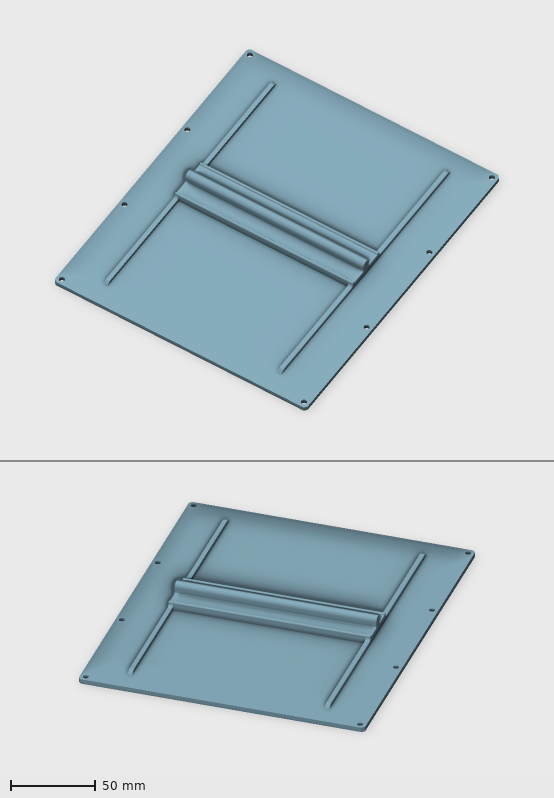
import cadquery as cq
import math

PLATE_X = 178.6
PLATE_Y = 211.39
PLATE_THICKNESS = 3.0
CORNER_CHAMFER = 1.7

HOLE_DIAMETER = 3.6
HOLE_INSET = 3.7
HOLES_PER_SIDE = 4

RAIL_OUTER_X = 63.05
RAIL_WIDTH = 3.0
RAIL_HEIGHT = 2.5
RAIL_HALF_LENGTH = 91.9
RAIL_END_RADIUS = 2.5
RAIL_STEP_RADIUS = 2.1
RAIL_EDGE_RADIUS = 0.5

BAR_HALF_WIDTH = 14.4
BENCH_HEIGHT = RAIL_HEIGHT + RAIL_STEP_RADIUS
LIP_RADIUS = 1.0
SPINE_RADIUS = 3.0
SPINE_HEIGHT = 11.5
SPINE_BASE_RADIUS = 1.0

EMBED = 1.0

RAIL_TOP = PLATE_THICKNESS + RAIL_HEIGHT
BENCH_TOP = PLATE_THICKNESS + BENCH_HEIGHT
SPINE_TOP = PLATE_THICKNESS + SPINE_HEIGHT
SPINE_SPRING = SPINE_TOP - SPINE_RADIUS
RAIL_INNER_X = RAIL_OUTER_X - RAIL_WIDTH
BOTTOM = PLATE_THICKNESS - EMBED
DIAGONAL = math.sqrt(0.5)
END_HALF_TURN = math.pi / 8


def make_plate():
    """Plate with bevelled corners and screw holes along both long sides."""
    plate = cq.Workplane("XY").box(PLATE_X, PLATE_Y, PLATE_THICKNESS, centered=(True, True, False))
    plate = plate.edges("|Z").chamfer(CORNER_CHAMFER)
    hole_x = PLATE_X - 2 * HOLE_INSET
    hole_pitch = (PLATE_Y - 2 * HOLE_INSET) / (HOLES_PER_SIDE - 1)
    return (
        plate.faces(">Z").workplane(origin=(0, 0, PLATE_THICKNESS))
        .rarray(hole_x, hole_pitch, 2, HOLES_PER_SIDE)
        .hole(HOLE_DIAMETER)
    )


def draw_bar_top(sketch):
    """Continue an outline from the outside of the -Y lip, over the spine, to the +Y lip."""
    lip_inner = BAR_HALF_WIDTH - 2 * LIP_RADIUS
    lip_middle = BAR_HALF_WIDTH - LIP_RADIUS
    lip_top = BENCH_TOP + LIP_RADIUS
    base_y = SPINE_RADIUS + SPINE_BASE_RADIUS
    base_z = BENCH_TOP + SPINE_BASE_RADIUS
    base_mid_y = base_y - SPINE_BASE_RADIUS * DIAGONAL
    base_mid_z = base_z - SPINE_BASE_RADIUS * DIAGONAL
    return (
        sketch.threePointArc((-lip_middle, lip_top), (-lip_inner, BENCH_TOP))
        .lineTo(-base_y, BENCH_TOP)
        .threePointArc((-base_mid_y, base_mid_z), (-SPINE_RADIUS, base_z))
        .lineTo(-SPINE_RADIUS, SPINE_SPRING)
        .threePointArc((0, SPINE_TOP), (SPINE_RADIUS, SPINE_SPRING))
        .lineTo(SPINE_RADIUS, base_z)
        .threePointArc((base_mid_y, base_mid_z), (base_y, BENCH_TOP))
        .lineTo(lip_inner, BENCH_TOP)
        .threePointArc((lip_middle, lip_top), (BAR_HALF_WIDTH, BENCH_TOP))
    )


def make_bar():
    """Crossbar between the two rails."""
    sketch = cq.Workplane("YZ", origin=(-RAIL_INNER_X, 0, 0)).moveTo(-BAR_HALF_WIDTH, BOTTOM)
    sketch = draw_bar_top(sketch.lineTo(-BAR_HALF_WIDTH, BENCH_TOP))
    return sketch.lineTo(BAR_HALF_WIDTH, BOTTOM).close().extrude(2 * RAIL_INNER_X)


def make_rail():
    """Rail on the -X side: sloped ends, the crossbar's outline in the middle, outer edge rounded."""
    crest = RAIL_HALF_LENGTH - RAIL_HEIGHT
    end_foot = RAIL_HALF_LENGTH + EMBED
    round_start = crest + RAIL_END_RADIUS * (DIAGONAL - math.tan(END_HALF_TURN))
    round_end = crest - RAIL_END_RADIUS * math.tan(END_HALF_TURN)
    round_start_z = RAIL_TOP - RAIL_END_RADIUS * (1 - DIAGONAL)
    round_mid = round_end + RAIL_END_RADIUS * math.sin(END_HALF_TURN)
    round_mid_z = RAIL_TOP - RAIL_END_RADIUS * (1 - math.cos(END_HALF_TURN))
    step_y = BAR_HALF_WIDTH + RAIL_STEP_RADIUS
    step_mid_y = step_y - RAIL_STEP_RADIUS * DIAGONAL
    step_mid_z = RAIL_TOP + RAIL_STEP_RADIUS * (1 - DIAGONAL)
    sketch = (
        cq.Workplane("YZ", origin=(-RAIL_OUTER_X, 0, 0))
        .moveTo(-end_foot, BOTTOM)
        .lineTo(-round_start, round_start_z)
        .threePointArc((-round_mid, round_mid_z), (-round_end, RAIL_TOP))
        .lineTo(-step_y, RAIL_TOP)
        .threePointArc((-step_mid_y, step_mid_z), (-BAR_HALF_WIDTH, BENCH_TOP))
    )
    sketch = (
        draw_bar_top(sketch)
        .threePointArc((step_mid_y, step_mid_z), (step_y, RAIL_TOP))
        .lineTo(round_end, RAIL_TOP)
        .threePointArc((round_mid, round_mid_z), (round_start, round_start_z))
        .lineTo(end_foot, BOTTOM)
        .close()
    )
    rail = sketch.extrude(RAIL_WIDTH)
    return rail.faces("<X").edges("not(<Z)").fillet(RAIL_EDGE_RADIUS)


rail = make_rail()
result = make_plate().union(make_bar()).union(rail).union(rail.mirror("YZ"))